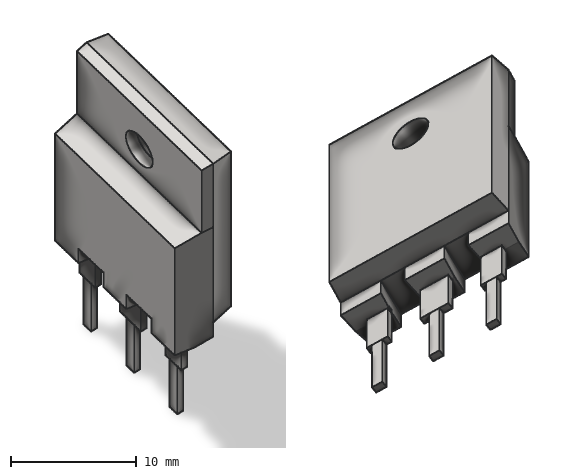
import cadquery as cq
import math

WIDTH = 16.0
HEIGHT = 32.0
DEPTH = 5.6
DRAFT_SLOPE = math.tan(math.radians(7.0))

BACK_THICKNESS = 2.0
BACK_BOTTOM = 12.0

TAB_THICKNESS = 1.1
TAB_BOTTOM = 24.0

HOLE_DIAMETER = 3.4
HOLE_Z = HEIGHT - 5.0

HOUSING_DEPTH = DEPTH - BACK_THICKNESS
HOUSING_BOTTOM = 10.0
PARTING_DEPTH = HOUSING_DEPTH / 2
SLOT_INNER_X = 1.9
SLOT_OUTER_X = 4.15
SLOT_TOP = BACK_BOTTOM

LEAD_PITCH = 5.45
LEAD_THICKNESS = 0.6
LEAD_Y = -1.7
OUTER_SHOULDER_WIDTH = 2.0
MIDDLE_SHOULDER_WIDTH = 2.7
PIN_WIDTH = 1.0
SHOULDER_BOTTOM = 6.0
SHOULDER_TOP = HOUSING_BOTTOM + 0.5


def extrude_yz(points, length):
    """Extrude a (Y, Z) outline along X, centred on X = 0."""
    return cq.Workplane("YZ").polyline(points).close().extrude(length / 2, both=True)


def extrude_xy(points, bottom, top):
    """Extrude an (X, Y) outline between two heights."""
    return cq.Workplane("XY").workplane(offset=bottom).polyline(points).close().extrude(top - bottom)


def drafted_outline(half_width, end_y):
    """(X, Y) outline whose two sides lean inwards from Y = 0 to end_y."""
    end_half_width = half_width - abs(end_y) * DRAFT_SLOPE
    return [(-half_width, 0), (half_width, 0), (end_half_width, end_y), (-end_half_width, end_y)]


def lead_section(x, width, bottom, top):
    """Rectangular length of lead centred on x."""
    return cq.Workplane("XY").box(width, LEAD_THICKNESS, top - bottom, centered=(True, True, False)).translate(
        (x, LEAD_Y, bottom)
    )


def mounting_hole():
    return (
        cq.Workplane("XZ")
        .center(0, HOLE_Z)
        .circle(HOLE_DIAMETER / 2)
        .extrude(DEPTH, both=True)
    )


def make_back_plate():
    inset = BACK_THICKNESS * DRAFT_SLOPE
    side_profile = [
        (0, BACK_BOTTOM),
        (0, HEIGHT),
        (BACK_THICKNESS, HEIGHT - inset),
        (BACK_THICKNESS, BACK_BOTTOM + inset),
    ]
    plan = drafted_outline(WIDTH / 2, BACK_THICKNESS)
    plate = extrude_xy(plan, 0, HEIGHT).intersect(extrude_yz(side_profile, WIDTH))
    return plate.cut(mounting_hole())


def make_tab_plate():
    inset = TAB_THICKNESS * DRAFT_SLOPE
    side_profile = [
        (0, TAB_BOTTOM),
        (0, HEIGHT),
        (-TAB_THICKNESS, HEIGHT - inset),
        (-TAB_THICKNESS, TAB_BOTTOM),
    ]
    plan = drafted_outline(WIDTH / 2, -TAB_THICKNESS)
    plate = extrude_xy(plan, 0, HEIGHT).intersect(extrude_yz(side_profile, WIDTH))
    return plate.cut(mounting_hole())


def leg_slot(side):
    """Slot between two legs, widening to the front; side is -1 or 1."""
    widening = HOUSING_DEPTH * DRAFT_SLOPE
    plan = [
        (side * SLOT_INNER_X, 0),
        (side * SLOT_OUTER_X, 0),
        (side * (SLOT_OUTER_X + widening), -HOUSING_DEPTH),
        (side * (SLOT_INNER_X - widening), -HOUSING_DEPTH),
    ]
    return extrude_xy(plan, 0, SLOT_TOP)


def make_housing(shoulders):
    bottom_rise = PARTING_DEPTH * DRAFT_SLOPE
    top_drop = (HOUSING_DEPTH - TAB_THICKNESS) * DRAFT_SLOPE
    side_profile = [
        (0, HOUSING_BOTTOM + bottom_rise),
        (0, TAB_BOTTOM),
        (-TAB_THICKNESS, TAB_BOTTOM),
        (-HOUSING_DEPTH, TAB_BOTTOM - top_drop),
        (-HOUSING_DEPTH, HOUSING_BOTTOM + bottom_rise),
        (-PARTING_DEPTH, HOUSING_BOTTOM),
    ]
    plan = drafted_outline(WIDTH / 2, -HOUSING_DEPTH)
    body = extrude_xy(plan, 0, HEIGHT).intersect(extrude_yz(side_profile, WIDTH))
    for side in (-1, 1):
        body = body.cut(leg_slot(side))
    for shoulder in shoulders:
        body = body.cut(shoulder)
    return body


def make_shoulder(position):
    """Wide upper length of a lead; position is -1, 0 or 1."""
    width = MIDDLE_SHOULDER_WIDTH if position == 0 else OUTER_SHOULDER_WIDTH
    return lead_section(position * LEAD_PITCH, width, SHOULDER_BOTTOM, SHOULDER_TOP)


def make_pin(position):
    """Narrow lower length of a lead; position is -1, 0 or 1."""
    return lead_section(position * LEAD_PITCH, PIN_WIDTH, 0, SHOULDER_BOTTOM)


LEAD_POSITIONS = (-1, 0, 1)
back_plate = make_back_plate()
tab_plate = make_tab_plate()
shoulders = [make_shoulder(position) for position in LEAD_POSITIONS]
pins = [make_pin(position) for position in LEAD_POSITIONS]
housing = make_housing(shoulders)

result = cq.Compound.makeCompound(
    [
        back_plate.val(),
        tab_plate.val(),
        housing.val(),
        *[shoulder.val() for shoulder in shoulders],
        *[pin.val() for pin in pins],
    ]
)